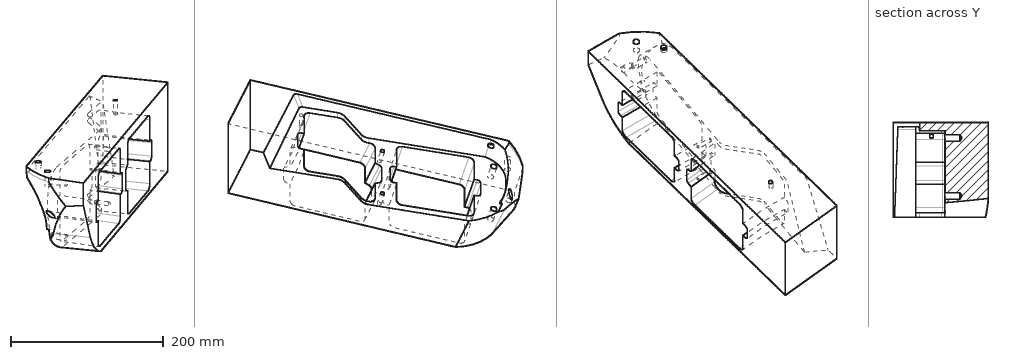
import cadquery as cq
import math

HEIGHT = 124.5
FAR_LEFT = (0, 386.0)
FAR_RIGHT = (88.5, 395.2)
NEAR_RIGHT = (129.2, 0)
NOSE_RIGHT = (80.0, 0)
NOSE_LEFT = (36.0, 29.5)
MARGIN = 39.5
THROUGH = 237

TILT = math.degrees(math.atan2(FAR_RIGHT[1] - FAR_LEFT[1], FAR_RIGHT[0] - FAR_LEFT[0]))

ROOF = 5.5
RECESS_TOP = HEIGHT - ROOF
UPPER_FLOOR_X = 29.2
LOWER_FLOOR_X = 67.5
JOG_Y = 255.7
JOG_RADIUS = 16.0
WALL_FLOOR_Y = 353.0
WALL_RUN = 0.55
WALL_LEAN = 40.5
WALL_FILLET = 4.7

NOSE_RADIUS = 142.3
NOSE_DRAFT = 0.27

OPENING_SIZE = 104.5
CORNER_RADIUS = 7.5
NOTCH_RADIUS = 4.7
NOTCH_DEPTH = 8.5
NOTCH_HEIGHT = 28.5
FAR_OPENING = (254.5, 58.0)
NEAR_OPENING = (121.0, 61.3)
OPENING_KINK_X = 67

SMALL_HOLE = 5.0
LARGE_HOLE = 8.0
HOLE_DEPTH = 19.8
DRILL_POINT = 118


def body():
    return (
        cq.Workplane("XY")
        .polyline([NOSE_LEFT, FAR_LEFT, FAR_RIGHT, NEAR_RIGHT, NOSE_RIGHT])
        .radiusArc(NOSE_LEFT, NOSE_RADIUS)
        .close()
        .extrude(HEIGHT)
    )


def nose_trim():
    """Material outside the bowed nose, which is drafted inward below the roof."""
    chord = (NOSE_RIGHT[0] - NOSE_LEFT[0], NOSE_RIGHT[1] - NOSE_LEFT[1])
    length = math.hypot(*chord)
    inward = (-chord[1] / length, chord[0] / length)
    to_center = math.sqrt(NOSE_RADIUS**2 - (length / 2) ** 2)
    middle = [(a + b) / 2 for a, b in zip(NOSE_LEFT, NOSE_RIGHT)]
    center = [m + to_center * n for m, n in zip(middle, inward)]
    middle_angle = math.degrees(math.atan2(-inward[1], -inward[0]))

    half_angle = 35

    def section(z):
        shift = NOSE_DRAFT * (RECESS_TOP - z)

        def point(radius, degrees):
            angle = math.radians(middle_angle + degrees)
            return (
                center[0] + shift * inward[0] + radius * math.cos(angle),
                center[1] + shift * inward[1] + radius * math.sin(angle),
            )

        outer = NOSE_RADIUS + 2 * MARGIN
        return (
            cq.Workplane("XY", origin=(0, 0, z))
            .moveTo(*point(NOSE_RADIUS, -half_angle))
            .threePointArc(point(NOSE_RADIUS, 0), point(NOSE_RADIUS, half_angle))
            .lineTo(*point(outer, half_angle))
            .lineTo(*point(outer, -half_angle))
            .close()
        )

    return cq.Workplane(cq.Solid.makeLoft([section(z).val() for z in (0, RECESS_TOP)], True))


def underside_trim():
    """Sloping and rounded underside of the nose, running square across the housing."""
    start = (-7.5, 83)
    slope_end = (18.5, 37.5)
    above = [2 * a - b for a, b in zip(start, slope_end)]
    arc_middle = (36.0, 18.0)
    arc_end = (68.5, 0)
    return (
        cq.Workplane("YZ", origin=(-THROUGH / 2, 0, 0))
        .moveTo(*above)
        .lineTo(*slope_end)
        .threePointArc(arc_middle, arc_end)
        .lineTo(arc_end[0], -MARGIN)
        .lineTo(-3 * MARGIN, -MARGIN)
        .lineTo(-3 * MARGIN, above[1])
        .close()
        .extrude(2 * THROUGH)
        .rotate((0, 0, 0), (0, 0, 1), TILT)
    )


def recess():
    """Side recess with a leaning far wall, two floors with a jog and a rounded near end."""
    def section(z):
        lean = WALL_LEAN * z / RECESS_TOP
        wall_out_y = WALL_FLOOR_Y + WALL_RUN * (UPPER_FLOOR_X + MARGIN)
        points = [
            (-MARGIN, -MARGIN),
            (LOWER_FLOOR_X, -MARGIN),
            (LOWER_FLOOR_X, JOG_Y - (LOWER_FLOOR_X - UPPER_FLOOR_X)),
            (UPPER_FLOOR_X, JOG_Y),
            (UPPER_FLOOR_X, WALL_FLOOR_Y - lean),
            (-MARGIN, wall_out_y - lean),
        ]
        return cq.Wire.makePolygon([cq.Vector(x, y, z) for x, y in points], close=True)

    cutter = cq.Workplane(cq.Solid.makeLoft([section(0), section(RECESS_TOP)], True))
    jog_middle = JOG_Y - (LOWER_FLOOR_X - UPPER_FLOOR_X) / 2
    jog_edges = cq.selectors.BoxSelector(
        (UPPER_FLOOR_X - 4, jog_middle - MARGIN, 4),
        (LOWER_FLOOR_X + 4, jog_middle + MARGIN, RECESS_TOP - 4),
    )
    cutter = cutter.edges(jog_edges).fillet(JOG_RADIUS)
    cutter = cutter.faces(">Z").edges(">Y").fillet(WALL_FILLET)

    shelf_z = 39.5
    end_outline = (
        cq.Workplane("YZ", origin=(-MARGIN, 0, 0))
        .moveTo(FAR_RIGHT[1], RECESS_TOP)
        .lineTo(54.5, RECESS_TOP)
        .threePointArc((33.0, 104.5), (26.0, 79))
        .threePointArc((27.3, 61.0), (34.5, shelf_z))
        .lineTo(-MARGIN, shelf_z)
        .lineTo(-MARGIN, 0)
        .lineTo(FAR_RIGHT[1], 0)
        .close()
        .extrude(THROUGH)
    )
    return cutter.intersect(end_outline)


def opening(center, length, start_x, flared_notch=False):
    """Rounded square with a notch at each end, cut along +X; the -Y notch may be flared."""
    plane = cq.Workplane("YZ", origin=(start_x, *center))
    side = OPENING_SIZE / 2
    tip = side + NOTCH_DEPTH
    tip_half = NOTCH_HEIGHT / 2
    mouth_half = tip_half + (NOTCH_DEPTH - NOTCH_RADIUS if flared_notch else 0)
    root = side - NOTCH_DEPTH
    notch_outline = [
        (-root, mouth_half),
        (-side, mouth_half),
        (-tip, tip_half),
        (-tip, -tip_half),
        (-side, -mouth_half),
        (-root, -mouth_half),
        (root, -tip_half),
        (tip, -tip_half),
        (tip, tip_half),
        (root, tip_half),
    ]
    square = plane.rect(OPENING_SIZE, OPENING_SIZE).extrude(length).edges("|X").fillet(CORNER_RADIUS)
    notches = plane.polyline(notch_outline).close().extrude(length)
    tips = notches.edges("|X and >Y").add(notches.edges("|X and <Y"))
    notches = notches.newObject(tips.vals())
    return square.union(notches.fillet(NOTCH_RADIUS))


def far_opening():
    straight = opening(FAR_OPENING, OPENING_KINK_X, 0, True)
    pivot = (OPENING_KINK_X, FAR_OPENING[0], 0)
    overlap = 8
    turned = opening(FAR_OPENING, THROUGH, OPENING_KINK_X - overlap, True)
    turned = turned.rotate(pivot, (pivot[0], pivot[1], 1), TILT)
    return straight.union(turned)


def drill(plane, diameter, depth):
    """Drill with a pointed tip, running along the normal of the plane."""
    radius = diameter / 2
    tip_length = radius / math.tan(math.radians(DRILL_POINT / 2))
    return (
        cq.Workplane(plane)
        .transformed(rotate=(90, 0, 0))
        .polyline([(0, 0), (radius, 0), (radius, depth), (0, depth + tip_length)])
        .close()
        .revolve(360, (0, 0), (0, 1))
    )


def side_hole(y, z, diameter, floor_x):
    plane = cq.Plane(origin=(-MARGIN, y, z), xDir=(0, 1, 0), normal=(1, 0, 0))
    return drill(plane, diameter, floor_x + MARGIN + HOLE_DEPTH)


def roof_hole(x, y, diameter):
    plane = cq.Plane(origin=(x, y, HEIGHT), xDir=(1, 0, 0), normal=(0, 0, -1))
    return drill(plane, diameter, HOLE_DEPTH)


result = body()
for cutter in (nose_trim(), underside_trim(), recess(), far_opening()):
    result = result.cut(cutter)
result = result.cut(opening(NEAR_OPENING, THROUGH, 0))

for y, z, diameter in (
    (192.0, 100.0, SMALL_HOLE),
    (192.0, 24.0, SMALL_HOLE),
    (42.3, 104.5, LARGE_HOLE),
    (42.3, 28.5, LARGE_HOLE),
):
    result = result.cut(side_hole(y, z, diameter, LOWER_FLOOR_X))

result = result.cut(side_hole(17.8, 67, LARGE_HOLE, LOWER_FLOOR_X))

for x, y, diameter in ((50.0, 306.0, SMALL_HOLE), (44.3, 51.8, LARGE_HOLE), (68.8, 23.7, LARGE_HOLE)):
    result = result.cut(roof_hole(x, y, diameter))